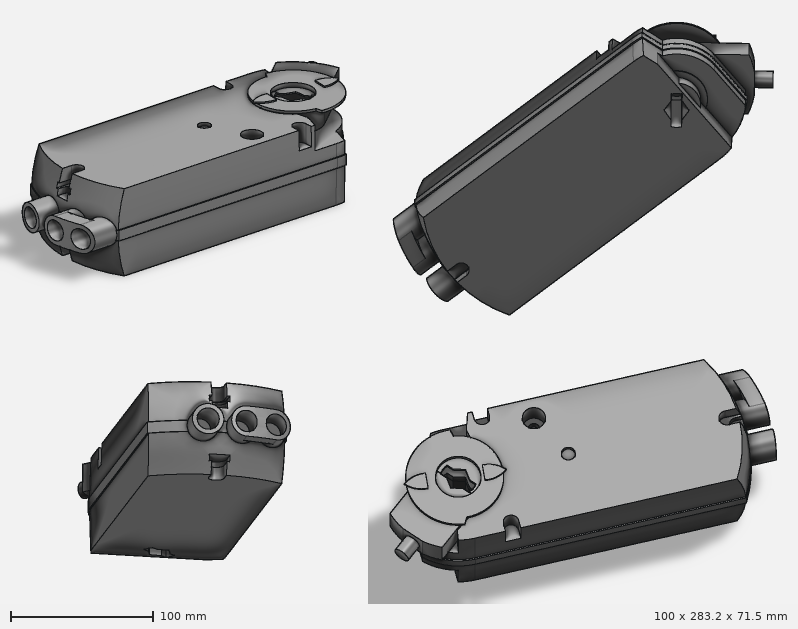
import cadquery as cq
import math


HOUSING_HEIGHT = 67.6
MID_HEIGHT = HOUSING_HEIGHT / 2
EDGE_HALF_WIDTH = 48.0
BULGE_HALF_WIDTH = 49.0
BAND_HALF_WIDTH = 100.0 / 2
BAND_BOTTOM = 29.5
BAND_TOP = 37.6
BAND_PROUD = 0.7
NOSE_RADIUS = 102.0
NOSE_CENTER_Y = -107.0

REAR_Y = 34.5
SLANT_OUTER_Y = 7.6
SLANT_INNER_Y = 13.0
SHOULDER_Y = 12.0
REAR_BOTTOM = 20.0
SWING_FLOOR = 48.0
SWING_RADIUS = 31.0
LEFT_STOP_CORNER = (-39.0, 10.5)
RIGHT_STOP_CORNER = (35.5, -14.7)
RIGHT_STOP_SLOPE = -0.32
RIGHT_STOP_END_X = 26.3
SWING_OUTER = 70.8

HUB_BOSS_DIAMETER = 34.0
HUB_BOSS_BOTTOM = 9.0
HUB_FLANGE_DIAMETER = 43.5
HUB_FLANGE_THICKNESS = 0.8

SOCKET_DIAMETER = 22.0
SOCKET_BORE = 15.5
SOCKET_XS = (-12.5, 15.3, 37.6)
SOCKET_END_RADIUS = 120.3
WEB_INNER_RADIUS = 109.0
SOCKET_BORE_END_Y = -198.0
SOCKET_ROOT_Y = -169.8

SLOT_WIDTH = 11.0
SLOT_REACH = 42.5
SIDE_SLOT_Y = -27.7
SIDE_SLOT_END_X = 42.2
SIDE_SLOT_FLOOR = 52.0
FRONT_SLOT_Y = -194.7
FRONT_SLOT_LOWER_Y = -202.5
FRONT_SLOT_FLOOR = 47.8
WASHER_WIDTH = 14.7
TOP_WASHER_BOTTOM = 53.0
TOP_WASHER_TOP = 57.2
BOTTOM_WASHER_BOTTOM = 9.3
BOTTOM_WASHER_TOP = 14.0
BUTTON_POSITION = (32.8, -63.0)
BUTTON_DIAMETER = 16.5
BUTTON_DEPTH = 17.0
BUTTON_HOLE_DIAMETER = 8.0
BUTTON_HOLE_DEPTH = 22.6
DIMPLE_Y = -79.8
DIMPLE_DIAMETER = 10.0
DIMPLE_DEPTH = 2.8

CLAMP_ANGLE = 130.0
CLAMP_TOP = 68.5
CLAMP_HALF_WIDTH = 22.6
CLAMP_OUTER_RADIUS = 55.5
CLAMP_FLAT_HALF_WIDTH = 8.5
BOLT_DIAMETER = 12.0
BOLT_END = 68.0
BOLT_Z = 57.5
DISC_TOP = 70.5
DISC_RADIUS = 37.0
DISC_SMALL_RADIUS = 32.0
DISC_LEFT_STEP = (173.0, 176.8)
DISC_RIGHT_STEP = (-5.4, -8.3)
DISC_HOLE = 32.0
DISC_HOLE_FLOOR = 67.6
JAW_RECESS_FLOOR = 66.8
CAVITY_DIAMETER = 36.8
CAVITY_BOTTOM = 55.0
CAVITY_TOP = 65.7
ARROW_TOP = 71.5
ARROW_ANGLE = 85.0
ARROW_LENGTH = 16.0
ARROW_HALF_WIDTH = 6.0
ARROW_WAIST = (8.5, 4.8)
ARROW_BASES = ((0, 22.5), (180, 18.0))

JAW_APEX = 8.8
JAW_FOOT = 7.5
KEY_SLOT_HALF_WIDTH = 7.6 / 2
KEY_SLOT_DIAMETER = 26.0


def polar(radius, angle):
    """Point at a radius and an angle in degrees around the hub axis."""
    turn = math.radians(angle)
    return (radius * math.cos(turn), radius * math.sin(turn))


def cylinder(diameter, bottom, top, center=(0, 0)):
    return cq.Workplane("XY", origin=(*center, bottom)).circle(diameter / 2).extrude(top - bottom)


def block(x_range, y_range, z_range):
    (x0, x1), (y0, y1), (z0, z1) = x_range, y_range, z_range
    return cq.Workplane("XY").box(x1 - x0, y1 - y0, z1 - z0, centered=False).translate((x0, y0, z0))


def housing_section():
    """Right half of the XZ cross-section of the housing, with a bulged side."""
    return (
        cq.Workplane("XZ").lineTo(EDGE_HALF_WIDTH, 0)
        .threePointArc((BULGE_HALF_WIDTH, MID_HEIGHT), (EDGE_HALF_WIDTH, HOUSING_HEIGHT))
        .lineTo(0, HOUSING_HEIGHT).close()
    )


def band_section():
    """Right half of the XZ cross-section of the band, with a straight side."""
    return (
        cq.Workplane("XZ").moveTo(0, BAND_BOTTOM).lineTo(BAND_HALF_WIDTH, BAND_BOTTOM)
        .lineTo(BAND_HALF_WIDTH, BAND_TOP).lineTo(0, BAND_TOP).close()
    )


def rear_outline(proud):
    """Region to which the rounded rear end is trimmed, as a tall prism."""
    radius = REAR_Y + proud
    slant_angle = math.degrees(math.asin((SLANT_INNER_Y + proud) / radius))
    arc_middle = polar(radius, (90 + slant_angle) / 2)
    return (
        cq.Workplane("XY").moveTo(-SWING_OUTER, 0).lineTo(-SWING_OUTER, radius).lineTo(0, radius)
        .threePointArc(arc_middle, polar(radius, slant_angle))
        .lineTo(BAND_HALF_WIDTH, SLANT_OUTER_Y + proud)
        .lineTo(BAND_HALF_WIDTH, 0).close().extrude(HOUSING_HEIGHT)
    )


def shell(section, proud):
    """Long body with a spherical nose and a round rear end, from half a cross-section."""
    straight_length = -NOSE_CENTER_Y
    half = section().extrude(straight_length)
    nose_half = section().extrude(straight_length + NOSE_RADIUS + proud)
    nose_ball = cq.Workplane("XY").sphere(NOSE_RADIUS + proud).translate((0, NOSE_CENTER_Y, MID_HEIGHT))
    half = half.union(nose_half.intersect(nose_ball))
    rear = section().revolve(360, (0, 0), (0, 1)).intersect(rear_outline(proud))
    return half.union(half.mirror("YZ")).union(rear)


def swing_space():
    """Space above the rear end in which the clamp turns between its two stops."""
    corner_x, corner_y = RIGHT_STOP_CORNER
    right_end_y = corner_y + RIGHT_STOP_SLOPE * (SWING_OUTER - corner_x)
    arc_start = (-SWING_RADIUS, 0)
    arc_end = (RIGHT_STOP_END_X, -math.sqrt(SWING_RADIUS**2 - RIGHT_STOP_END_X**2))
    return (
        cq.Workplane("XY", origin=(0, 0, SWING_FLOOR))
        .moveTo(-EDGE_HALF_WIDTH, SHOULDER_Y).lineTo(*LEFT_STOP_CORNER).lineTo(*arc_start)
        .threePointArc((0, -SWING_RADIUS), arc_end)
        .lineTo(corner_x, corner_y).lineTo(SWING_OUTER, right_end_y)
        .lineTo(SWING_OUTER, SWING_OUTER).lineTo(-SWING_OUTER, SWING_OUTER)
        .lineTo(-SWING_OUTER, SHOULDER_Y).close().extrude(HOUSING_HEIGHT)
    )


def sockets():
    """Three cable sockets and the web joining the right-hand pair, cut to a round end."""
    radius = SOCKET_DIAMETER / 2
    center = (0, NOSE_CENTER_Y)
    web = block(
        SOCKET_XS[1:],
        (NOSE_CENTER_Y - SOCKET_END_RADIUS, SOCKET_BORE_END_Y),
        (MID_HEIGHT - radius, MID_HEIGHT + radius),
    ).cut(cylinder(2 * WEB_INNER_RADIUS, 0, HOUSING_HEIGHT, center))
    joined = web
    for x in SOCKET_XS:
        tube = cq.Workplane("XZ", origin=(x, SOCKET_ROOT_Y, MID_HEIGHT)).circle(radius)
        joined = joined.union(tube.extrude(SOCKET_END_RADIUS))
    return joined.intersect(cylinder(2 * SOCKET_END_RADIUS, 0, HOUSING_HEIGHT, center))


def socket_bores():
    return (
        cq.Workplane("XZ", origin=(0, SOCKET_BORE_END_Y, MID_HEIGHT))
        .pushPoints([(x, 0) for x in SOCKET_XS]).circle(SOCKET_BORE / 2).extrude(SOCKET_END_RADIUS)
    )


def open_slot(width, bottom, top, center, direction):
    """Slot with one round end, running outward from its centre in a direction in degrees."""
    run = cq.Workplane("XY").box(SLOT_REACH, width, top - bottom, centered=(False, True, False))
    run = run.rotate((0, 0, 0), (0, 0, 1), direction).translate((*center, bottom))
    return run.union(cylinder(width, bottom, top, center))


def screw_slots():
    """Two side slots in the top and stepped slots in the nose, top and bottom."""
    forward = -90
    front = (0, FRONT_SLOT_Y)
    lower = (0, FRONT_SLOT_LOWER_Y)
    slots = open_slot(SLOT_WIDTH, TOP_WASHER_TOP, HOUSING_HEIGHT, front, forward)
    slots = slots.union(open_slot(WASHER_WIDTH, TOP_WASHER_BOTTOM, TOP_WASHER_TOP, front, forward))
    slots = slots.union(open_slot(SLOT_WIDTH, FRONT_SLOT_FLOOR, TOP_WASHER_BOTTOM, lower, forward))
    slots = slots.union(open_slot(SLOT_WIDTH, 0, BOTTOM_WASHER_BOTTOM, front, forward))
    slots = slots.union(open_slot(WASHER_WIDTH, BOTTOM_WASHER_BOTTOM, BOTTOM_WASHER_TOP, front, forward))
    for side, direction in ((-1, 180), (1, 0)):
        center = (side * SIDE_SLOT_END_X, SIDE_SLOT_Y)
        slots = slots.union(open_slot(SLOT_WIDTH, SIDE_SLOT_FLOOR, HOUSING_HEIGHT, center, direction))
    return slots


def top_holes():
    top = HOUSING_HEIGHT
    holes = cylinder(BUTTON_DIAMETER, top - BUTTON_DEPTH, top, BUTTON_POSITION)
    holes = holes.union(cylinder(BUTTON_HOLE_DIAMETER, top - BUTTON_HOLE_DEPTH, top, BUTTON_POSITION))
    return holes.union(cylinder(DIMPLE_DIAMETER, top - DIMPLE_DEPTH, top, (0, DIMPLE_Y)))


def shaft_opening():
    """Four-sided jaw opening crossed by a key slot, at right angles to the clamp arm."""
    jaw = (
        cq.Workplane("XY")
        .polyline([
            (JAW_FOOT, KEY_SLOT_HALF_WIDTH), (0, JAW_APEX), (-JAW_FOOT, KEY_SLOT_HALF_WIDTH),
            (-JAW_FOOT, -KEY_SLOT_HALF_WIDTH), (0, -JAW_APEX), (JAW_FOOT, -KEY_SLOT_HALF_WIDTH),
        ]).close().extrude(DISC_TOP)
    )
    key_slot = (
        cq.Workplane("XY").rect(KEY_SLOT_DIAMETER, 2 * KEY_SLOT_HALF_WIDTH).extrude(DISC_TOP)
        .intersect(cylinder(KEY_SLOT_DIAMETER, 0, DISC_TOP))
    )
    return jaw.union(key_slot).rotate((0, 0, 0), (0, 0, 1), CLAMP_ANGLE - 90)


def make_housing():
    body = shell(housing_section, 0)
    body = body.union(shell(band_section, BAND_PROUD))
    body = body.cut(swing_space())
    rear_undercut = block((-SWING_OUTER, SWING_OUTER), (SHOULDER_Y, SWING_OUTER), (0, REAR_BOTTOM))
    body = body.cut(rear_undercut)
    body = body.union(cylinder(HUB_BOSS_DIAMETER, HUB_BOSS_BOTTOM, REAR_BOTTOM))
    body = body.union(cylinder(HUB_FLANGE_DIAMETER, REAR_BOTTOM - HUB_FLANGE_THICKNESS, REAR_BOTTOM))
    body = body.union(sockets()).cut(socket_bores())
    return body.cut(screw_slots()).cut(top_holes()).cut(shaft_opening())


def clamp_arm():
    """Arm along +X with a round hub end, a round outer end and a flat for the bolt."""
    side_x = math.sqrt(CLAMP_OUTER_RADIUS**2 - CLAMP_HALF_WIDTH**2)
    flat_x = math.sqrt(CLAMP_OUTER_RADIUS**2 - CLAMP_FLAT_HALF_WIDTH**2)
    side_angle = math.degrees(math.asin(CLAMP_HALF_WIDTH / CLAMP_OUTER_RADIUS))
    flat_angle = math.degrees(math.asin(CLAMP_FLAT_HALF_WIDTH / CLAMP_OUTER_RADIUS))
    middle_angle = (side_angle + flat_angle) / 2
    arm = (
        cq.Workplane("XY", origin=(0, 0, SWING_FLOOR))
        .moveTo(0, -CLAMP_HALF_WIDTH).lineTo(side_x, -CLAMP_HALF_WIDTH)
        .threePointArc(polar(CLAMP_OUTER_RADIUS, -middle_angle), (flat_x, -CLAMP_FLAT_HALF_WIDTH))
        .lineTo(flat_x, CLAMP_FLAT_HALF_WIDTH)
        .threePointArc(polar(CLAMP_OUTER_RADIUS, middle_angle), (side_x, CLAMP_HALF_WIDTH))
        .lineTo(0, CLAMP_HALF_WIDTH).threePointArc((-CLAMP_HALF_WIDTH, 0), (0, -CLAMP_HALF_WIDTH))
        .close().extrude(CLAMP_TOP - SWING_FLOOR)
    )
    bolt = (
        cq.Workplane("YZ", origin=(CLAMP_HALF_WIDTH, 0, BOLT_Z))
        .circle(BOLT_DIAMETER / 2).extrude(BOLT_END - CLAMP_HALF_WIDTH)
    )
    return arm.union(bolt).rotate((0, 0, 0), (0, 0, 1), CLAMP_ANGLE)


def indicator_disc():
    """Disc on top of the clamp, wide at the rear and stepped in at the front."""
    return (
        cq.Workplane("XY", origin=(0, 0, CLAMP_TOP))
        .moveTo(*polar(DISC_RADIUS, DISC_RIGHT_STEP[0]))
        .threePointArc((0, DISC_RADIUS), polar(DISC_RADIUS, DISC_LEFT_STEP[0]))
        .lineTo(*polar(DISC_SMALL_RADIUS, DISC_LEFT_STEP[1]))
        .threePointArc((0, -DISC_SMALL_RADIUS), polar(DISC_SMALL_RADIUS, DISC_RIGHT_STEP[1]))
        .close().extrude(DISC_TOP - CLAMP_TOP)
    )


def arrow(turn, base):
    """Pointer pad that starts at a distance from the hub and points outward."""
    waist_x = base + ARROW_WAIST[0]
    tip = (base + ARROW_LENGTH, 0)
    pad = (
        cq.Workplane("XY", origin=(0, 0, DISC_TOP))
        .moveTo(base, -ARROW_HALF_WIDTH).threePointArc((waist_x, -ARROW_WAIST[1]), tip)
        .threePointArc((waist_x, ARROW_WAIST[1]), (base, ARROW_HALF_WIDTH))
        .close().extrude(ARROW_TOP - DISC_TOP)
    )
    return pad.rotate((0, 0, 0), (0, 0, 1), ARROW_ANGLE + turn)


def jaw_recess():
    """Deeper half of the recess in the disc hole, on the arm side of the key slot."""
    radius = DISC_HOLE / 2
    arm_side = block((KEY_SLOT_HALF_WIDTH, radius), (-radius, radius), (JAW_RECESS_FLOOR, DISC_TOP))
    arm_side = arm_side.rotate((0, 0, 0), (0, 0, 1), CLAMP_ANGLE)
    return arm_side.intersect(cylinder(DISC_HOLE, JAW_RECESS_FLOOR, DISC_TOP))


def make_clamp():
    clamp = clamp_arm().union(indicator_disc())
    for turn, base in ARROW_BASES:
        clamp = clamp.union(arrow(turn, base))
    clamp = clamp.cut(cylinder(DISC_HOLE, DISC_HOLE_FLOOR, DISC_TOP)).cut(jaw_recess())
    return clamp.cut(cylinder(CAVITY_DIAMETER, CAVITY_BOTTOM, CAVITY_TOP)).cut(shaft_opening())


housing = make_housing()
clamp = make_clamp()
result = cq.Compound.makeCompound([housing.val(), clamp.val()])